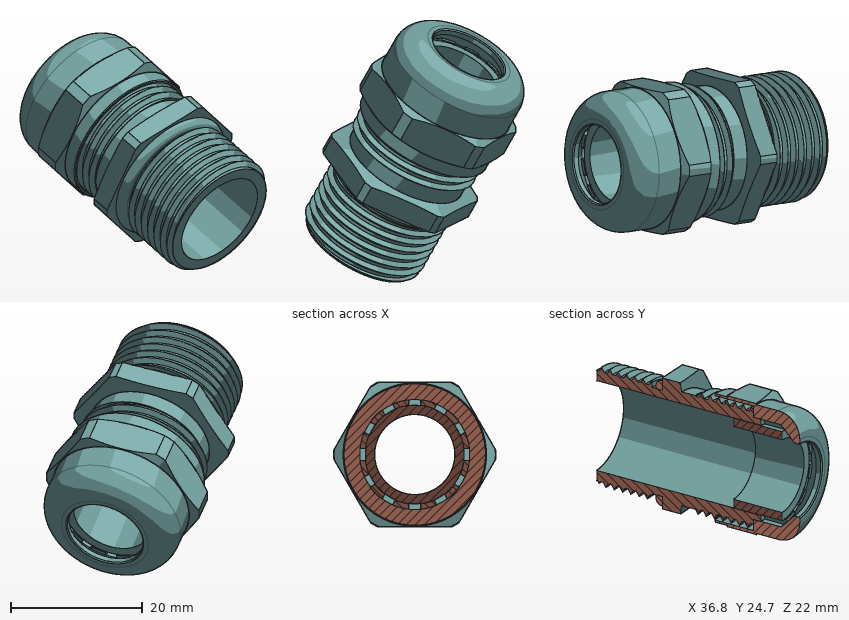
import cadquery as cq
import math


ACROSS_FLATS = 22.0
ACROSS_CORNERS = ACROSS_FLATS / math.cos(math.pi / 6)

NUT_DIAMETER = 21.66
NUT_END = 15.43
NUT_END_CHAMFER = 0.15
DOME_RADIUS = 3.87
NUT_HEX_START = 7.87
NUT_HEX_END = 13.22
NUT_HEX_CORNER_DIAMETER = 24.46
NUT_HEX_CHAMFER_DEPTH = 0.63
NUT_HEX_CHAMFER_ANGLE = math.radians(25.5)
MOUTH_DIAMETER = 12.5
LIP_DIAMETER = 12.14
MOUTH_CHAMFER_DEPTH = 0.2
LIP_END = 1.0
CONE_ANGLE = math.radians(45)
CLAMP_BORE_DIAMETER = 17.05
THREAD_BORE_DIAMETER = 20.78

FINGER_COUNT = 12
FINGER_TIP = 3.0
FINGER_SLOT_WIDTH = 1.8
FINGER_SLOT_END = 7.0

BODY_BORE_DIAMETER = 15.0
SHOULDER = 8.5
NECK_START = 18.87
NECK_DIAMETER = 19.13
HEX_START = 21.36
HEX_END = 24.92
HEX_CORNER_DIAMETER = 24.7
HEX_CHAMFER_DEPTH = 0.5
HEX_CHAMFER_ANGLE = math.radians(10)
GROOVE_DIAMETER = 17.9
REAR_THREAD_START = 26.75
BODY_END = 36.81

PITCH = 1.5
RIDGE_WIDTH = 1.0
RIDGE_OVERLAP = 0.1
FRONT_ROOT_DIAMETER = 18.92
FRONT_CREST_DIAMETER = 20.5
FRONT_PHASE = 17.0
REAR_ROOT_DIAMETER = 18.5
REAR_CREST_DIAMETER = 20.0
REAR_PHASE = 27.64

SEAL_FACE = 3.2
SEAL_END = 12.0
SEAL_BORE_DIAMETER = LIP_DIAMETER

GASKET_DIAMETER = 21.1
GASKET_END = 26.13


def rod(start, end, diameter):
    """Solid cylinder on the X axis."""
    return cq.Workplane("YZ", origin=(start, 0, 0)).circle(diameter / 2).extrude(end - start)


def cone(start, end, start_diameter, end_diameter):
    """Solid truncated cone on the X axis."""
    return (
        cq.Workplane("XY")
        .moveTo(start, 0)
        .lineTo(start, start_diameter / 2)
        .lineTo(end, end_diameter / 2)
        .lineTo(end, 0)
        .close()
        .revolve(360, (0, 0, 0), (1, 0, 0))
    )


def hexagon(start, end, corner_diameter, chamfer_depth, chamfer_angle, chamfered_faces):
    """Hexagon with flats at +Z and -Z, round corners and conically chamfered ends."""
    prism = cq.Workplane("YZ", origin=(start, 0, 0)).polygon(6, ACROSS_CORNERS).extrude(end - start)
    chamfer_width = chamfer_depth / math.tan(chamfer_angle)
    envelope = rod(start, end, corner_diameter).faces(chamfered_faces).chamfer(chamfer_depth, chamfer_width)
    return prism.intersect(envelope)


def threaded_rod(start, end, root_diameter, crest_diameter, phase, tapered_end):
    """Rod with a right-handed V-shaped ridge, cut off square or, at a tapered end, at 45 degrees."""
    root_radius = root_diameter / 2
    crest_radius = crest_diameter / 2
    base_radius = root_radius - RIDGE_OVERLAP
    flank_slope = RIDGE_WIDTH / 2 / (crest_radius - root_radius)
    base_half_width = flank_slope * (crest_radius - base_radius)

    turns_before = math.ceil((phase - start) / PITCH) + 1
    ridge_start = phase - turns_before * PITCH
    path = cq.Wire.makeHelix(PITCH, end - ridge_start + PITCH, base_radius)
    ridge = (
        cq.Workplane("XZ")
        .moveTo(base_radius, -base_half_width)
        .lineTo(crest_radius, 0)
        .lineTo(base_radius, base_half_width)
        .close()
        .sweep(cq.Workplane(obj=path), isFrenet=True)
        .rotate((0, 0, 0), (0, 1, 0), 90)
        .translate((ridge_start, 0, 0))
    )
    envelope_radius = crest_radius + PITCH
    envelope = rod(start, end, 2 * envelope_radius)
    if tapered_end:
        envelope = envelope.faces(">X").chamfer(envelope_radius - base_radius)
    return rod(start, end, root_diameter).union(ridge.intersect(envelope))


def build_cap_nut():
    shell = rod(0, NUT_END, NUT_DIAMETER)
    shell = shell.faces("<X").edges().fillet(DOME_RADIUS)
    shell = shell.faces(">X").edges().chamfer(NUT_END_CHAMFER)
    grip = hexagon(
        NUT_HEX_START,
        NUT_HEX_END,
        NUT_HEX_CORNER_DIAMETER,
        NUT_HEX_CHAMFER_DEPTH,
        NUT_HEX_CHAMFER_ANGLE,
        "<X or >X",
    )
    nut = shell.union(grip)

    cone_end = LIP_END + (CLAMP_BORE_DIAMETER - LIP_DIAMETER) / 2 / math.tan(CONE_ANGLE)
    cavity = rod(0, LIP_END, LIP_DIAMETER)
    cavity = cavity.union(cone(0, MOUTH_CHAMFER_DEPTH, MOUTH_DIAMETER, LIP_DIAMETER))
    cavity = cavity.union(cone(LIP_END, cone_end, LIP_DIAMETER, CLAMP_BORE_DIAMETER))
    cavity = cavity.union(rod(cone_end, SHOULDER, CLAMP_BORE_DIAMETER))
    cavity = cavity.union(rod(SHOULDER, NUT_END, THREAD_BORE_DIAMETER))
    return nut.cut(cavity)


def build_fingers():
    """Slotted sleeve whose tips are tapered to bear on the cone of the cap nut."""
    taper_start_diameter = LIP_DIAMETER + 2 * (FINGER_TIP - LIP_END) * math.tan(CONE_ANGLE)
    taper_end = LIP_END + (CLAMP_BORE_DIAMETER - LIP_DIAMETER) / 2 / math.tan(CONE_ANGLE)
    sleeve = rod(taper_end, SHOULDER, CLAMP_BORE_DIAMETER)
    sleeve = sleeve.union(cone(FINGER_TIP, taper_end, taper_start_diameter, CLAMP_BORE_DIAMETER))
    slot_length = FINGER_SLOT_END - FINGER_TIP
    slot = cq.Workplane("XY").box(slot_length, CLAMP_BORE_DIAMETER, FINGER_SLOT_WIDTH, (False, False, True))
    for index in range(FINGER_COUNT):
        angle = index * 360 / FINGER_COUNT
        sleeve = sleeve.cut(slot.translate((FINGER_TIP, 0, 0)).rotate((0, 0, 0), (1, 0, 0), angle))
    return sleeve


def build_gland_body():
    body = threaded_rod(
        SHOULDER, NECK_START, FRONT_ROOT_DIAMETER, FRONT_CREST_DIAMETER, FRONT_PHASE, tapered_end=False
    )
    body = body.union(rod(NECK_START, HEX_START, NECK_DIAMETER))
    grip = hexagon(HEX_START, HEX_END, HEX_CORNER_DIAMETER, HEX_CHAMFER_DEPTH, HEX_CHAMFER_ANGLE, "<X")
    body = body.union(grip)
    body = body.union(rod(HEX_END, REAR_THREAD_START, GROOVE_DIAMETER))
    rear = threaded_rod(
        REAR_THREAD_START, BODY_END, REAR_ROOT_DIAMETER, REAR_CREST_DIAMETER, REAR_PHASE, tapered_end=True
    )
    body = body.union(rear).union(build_fingers())
    return body.cut(rod(FINGER_TIP, BODY_END, BODY_BORE_DIAMETER))


def build_seal():
    return rod(SEAL_FACE, SEAL_END, BODY_BORE_DIAMETER).cut(rod(SEAL_FACE, SEAL_END, SEAL_BORE_DIAMETER))


def build_gasket():
    """Flat ring in the groove behind the hexagon, its outer rim a quarter-round as wide as the ring."""
    width = GASKET_END - HEX_END
    outer_radius = GASKET_DIAMETER / 2
    inner_radius = GROOVE_DIAMETER / 2
    diagonal = width * math.sqrt(0.5)
    return (
        cq.Workplane("XY")
        .moveTo(HEX_END, inner_radius)
        .lineTo(HEX_END, outer_radius)
        .threePointArc(
            (HEX_END + diagonal, outer_radius - width + diagonal),
            (GASKET_END, outer_radius - width),
        )
        .lineTo(GASKET_END, inner_radius)
        .close()
        .revolve(360, (0, 0, 0), (1, 0, 0))
    )


cap_nut = build_cap_nut()
gland_body = build_gland_body()
seal = build_seal()
gasket = build_gasket()

result = cq.Compound.makeCompound([cap_nut.val(), gland_body.val(), seal.val(), gasket.val()])